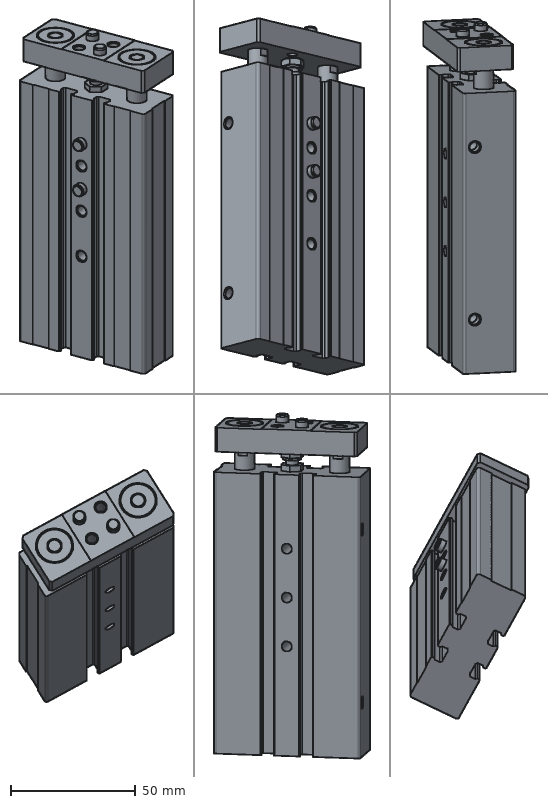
import cadquery as cq
import math

TOTAL_HEIGHT = 136.6

HOUSING_WIDTH = 60.0
HOUSING_DEPTH = 22.0
HOUSING_HEIGHT = 114.9
FRONT_CORNER_RADIUS = 1.2
BACK_CORNER_RADIUS = 1.0
HOUSING_FRONT = -HOUSING_DEPTH / 2
HOUSING_LEFT = -HOUSING_WIDTH / 2

SLOT_INNER_X = 5.3
SLOT_OUTER_X = 10.5
SLOT_DEPTH = 4.8
SLOT_LIP_CHAMFER = 0.4
SLOT_LIP_THICKNESS = 1.2
SLOT_UNDERCUT = 0.7
SLOT_FLOOR_CHAMFER = 0.7

FRONT_GROOVE_WIDTH = 7.6
FRONT_GROOVE_DEPTH = 0.2
SIDE_GROOVE_WIDTH = 9.0
SIDE_GROOVE_DEPTH = 0.4

HOLE_PITCH = 10.0
HOLE_DIAMETER = 4.1
HOLE_MOUTH_DIAMETER = 5.0
HOLE_CHAMFER = (HOLE_MOUTH_DIAMETER - HOLE_DIAMETER) / 2
FIRST_HOLE_DISTANCE = 20.2
FIRST_HOLE_Z = HOUSING_HEIGHT - FIRST_HOLE_DISTANCE
HOUSING_PIN_STEPS = (0, 2)
HOUSING_HOLE_STEPS = (1, 3, 5)

PLATE_PIN_CORNERS = ((-1, 1), (1, -1))
PLATE_HOLE_CORNERS = ((-1, -1), (1, 1))

PORT_END_DISTANCE = 22.1
PORT_BACK_DISTANCE = 4.8
PORT_Y = HOUSING_DEPTH / 2 - PORT_BACK_DISTANCE
PORT_DEPTH = 5.0
DRILL_POINT_ANGLE = 118

PIN_DIAMETER = HOLE_MOUTH_DIAMETER
PIN_PROTRUSION = 3.0
PIN_SEAT_DEPTH = 3.0
PIN_CHAMFER_LENGTH = 0.7
PIN_CHAMFER_WIDTH = 0.4

PLATE_WIDTH = 58.0
PLATE_HEIGHT = 10.0
PLATE_FRONT_SETBACK = 0.8
PLATE_BACK_OVERHANG = 2.0
PLATE_FRONT = HOUSING_FRONT + PLATE_FRONT_SETBACK
PLATE_BACK = HOUSING_DEPTH / 2 + PLATE_BACK_OVERHANG
PLATE_CHAMFER = 1.0
PLATE_TOP = TOTAL_HEIGHT - PIN_PROTRUSION
PLATE_BOTTOM = PLATE_TOP - PLATE_HEIGHT
PLATE_DEPTH = PLATE_BACK - PLATE_FRONT
PLATE_MIDDLE_Y = (PLATE_FRONT + PLATE_BACK) / 2
PLATE_PAD_WIDTH = 20.2
PLATE_PAD_STEP = 0.1
PLATE_SHOULDER = PLATE_TOP - PLATE_PAD_STEP

ROD_SPACING = 38.9
ROD_X = ROD_SPACING / 2
ROD_DIAMETER = 8.0
ROD_INSERTION = 20.0
ROD_HEAD_DIAMETER = 14.0
ROD_HEAD_RECESS_DIAMETER = 15.0
ROD_HEAD_THICKNESS = 5.0
ROD_TIP_DIAMETER = 6.0
ROD_TIP_CHAMFER = 0.48
WRENCH_FLAT_SPACING = 7.1
WRENCH_FLAT_HEIGHT = 2.9

HEX_ACROSS_FLATS = 8.0
HEX_CHAMFER_DIAMETER = 6.0
HEX_CHAMFER_ANGLE = 30
NUT_HEIGHT = 3.3
COLLAR_TOP_DIAMETER = 6.8
COLLAR_BOTTOM_DIAMETER = 7.5
COLLAR_HEIGHT = 1.0
STOP_SHANK_DIAMETER = 5.0
STOP_HEAD_HEIGHT = 2.5

INTO_HOUSING = (0, 1, 0)
OUT_OF_HOUSING = (0, -1, 0)
UP = (0, 0, 1)
DOWN = (0, 0, -1)


def cylinder(diameter, start, direction, length):
    return cq.Workplane(cq.Solid.makeCylinder(diameter / 2, length, cq.Vector(*start), cq.Vector(*direction)))


def cone(start_diameter, end_diameter, start, direction, length):
    return cq.Workplane(
        cq.Solid.makeCone(start_diameter / 2, end_diameter / 2, length, cq.Vector(*start), cq.Vector(*direction))
    )


def chamfered_hole(start, direction, length):
    bore = cylinder(HOLE_DIAMETER, start, direction, length)
    return bore.union(cone(HOLE_MOUTH_DIAMETER, HOLE_DIAMETER, start, direction, HOLE_CHAMFER))


def front_pin_seat(step):
    """Point on the housing front where a hole of the vertical row begins."""
    return (0, HOUSING_FRONT, FIRST_HOLE_Z - step * HOLE_PITCH)


def plate_hole_point(side_x, side_y):
    return (side_x * HOLE_PITCH / 2, side_y * HOLE_PITCH / 2, PLATE_TOP)



def sensor_slot():
    """Right-hand front slot: a mouth with chamfered lips and an undercut chamber behind them."""
    chamfer_end = HOUSING_FRONT + SLOT_LIP_CHAMFER
    lip_back = HOUSING_FRONT + SLOT_LIP_THICKNESS
    chamber_start = lip_back + SLOT_UNDERCUT
    floor = HOUSING_FRONT + SLOT_DEPTH
    chamber_inner_x = SLOT_INNER_X - SLOT_UNDERCUT
    chamber_outer_x = SLOT_OUTER_X + SLOT_UNDERCUT
    return (
        cq.Workplane("XY")
        .moveTo(SLOT_INNER_X - SLOT_LIP_CHAMFER, HOUSING_FRONT)
        .lineTo(SLOT_INNER_X, chamfer_end)
        .lineTo(SLOT_INNER_X, lip_back)
        .lineTo(chamber_inner_x, chamber_start)
        .lineTo(chamber_inner_x, floor - SLOT_FLOOR_CHAMFER)
        .lineTo(chamber_inner_x + SLOT_FLOOR_CHAMFER, floor)
        .lineTo(chamber_outer_x - SLOT_FLOOR_CHAMFER, floor)
        .lineTo(chamber_outer_x, floor - SLOT_FLOOR_CHAMFER)
        .lineTo(chamber_outer_x, chamber_start)
        .lineTo(SLOT_OUTER_X, lip_back)
        .lineTo(SLOT_OUTER_X, chamfer_end)
        .lineTo(SLOT_OUTER_X + SLOT_LIP_CHAMFER, HOUSING_FRONT)
        .close()
        .extrude(HOUSING_HEIGHT)
    )


def air_port(z):
    """Blind port with a chamfered mouth and a conical drill point."""
    start = (HOUSING_LEFT, PORT_Y, z)
    inward = (1, 0, 0)
    point_length = HOLE_DIAMETER / 2 / math.tan(math.radians(DRILL_POINT_ANGLE / 2))
    drill_point = cone(HOLE_DIAMETER, 0, (HOUSING_LEFT + PORT_DEPTH, PORT_Y, z), inward, point_length)
    return chamfered_hole(start, inward, PORT_DEPTH).union(drill_point)


def make_housing():
    housing = (
        cq.Workplane("XY")
        .rect(HOUSING_WIDTH, HOUSING_DEPTH)
        .extrude(HOUSING_HEIGHT)
        .edges("|Z and <Y")
        .fillet(FRONT_CORNER_RADIUS)
        .edges("|Z and >Y")
        .fillet(BACK_CORNER_RADIUS)
    )

    slot_pair = sensor_slot().union(sensor_slot().mirror("YZ"))
    housing = housing.cut(slot_pair).cut(slot_pair.mirror("XZ"))

    front_grooves = (
        cq.Workplane("XY")
        .pushPoints([(-ROD_X, HOUSING_FRONT), (ROD_X, HOUSING_FRONT)])
        .rect(FRONT_GROOVE_WIDTH, 2 * FRONT_GROOVE_DEPTH)
        .extrude(HOUSING_HEIGHT)
    )
    side_groove = (
        cq.Workplane("XY")
        .center(HOUSING_WIDTH / 2, 0)
        .rect(2 * SIDE_GROOVE_DEPTH, SIDE_GROOVE_WIDTH)
        .extrude(HOUSING_HEIGHT)
    )
    housing = housing.cut(front_grooves).cut(side_groove)

    for step in HOUSING_HOLE_STEPS:
        housing = housing.cut(chamfered_hole(front_pin_seat(step), INTO_HOUSING, HOUSING_DEPTH))
    for step in HOUSING_PIN_STEPS:
        housing = housing.cut(cylinder(PIN_DIAMETER, front_pin_seat(step), INTO_HOUSING, PIN_SEAT_DEPTH))

    for z in (PORT_END_DISTANCE, HOUSING_HEIGHT - PORT_END_DISTANCE):
        housing = housing.cut(air_port(z))

    for x in (-ROD_X, ROD_X):
        housing = housing.cut(cylinder(ROD_DIAMETER, (x, 0, HOUSING_HEIGHT), DOWN, ROD_INSERTION))
    return housing


def hexagon(bottom, height):
    """Hexagonal prism on the Z axis with one corner facing the front."""
    across_corners = HEX_ACROSS_FLATS / math.cos(math.radians(30))
    return (
        cq.Workplane("XY", origin=(0, 0, bottom))
        .transformed(rotate=(0, 0, 90))
        .polygon(6, across_corners)
        .extrude(height)
    )


def make_stop_screw():
    """Lock nut against the plate, collar, shank and hexagonal stop head, ending on the housing."""
    nut_bottom = PLATE_BOTTOM - NUT_HEIGHT
    chamfer_slope = math.tan(math.radians(HEX_CHAMFER_ANGLE))
    nut_cone_diameter = HEX_CHAMFER_DIAMETER + 2 * NUT_HEIGHT / chamfer_slope
    nut_cone = cone(nut_cone_diameter, HEX_CHAMFER_DIAMETER, (0, 0, nut_bottom), UP, NUT_HEIGHT)
    nut = hexagon(nut_bottom, NUT_HEIGHT).intersect(nut_cone)
    collar = cone(COLLAR_TOP_DIAMETER, COLLAR_BOTTOM_DIAMETER, (0, 0, nut_bottom), DOWN, COLLAR_HEIGHT)
    shank = cylinder(STOP_SHANK_DIAMETER, (0, 0, HOUSING_HEIGHT), UP, nut_bottom - HOUSING_HEIGHT)
    head = hexagon(HOUSING_HEIGHT, STOP_HEAD_HEIGHT)
    return nut.union(collar).union(shank).union(head)


def make_plate():
    plate = (
        cq.Workplane("XY", origin=(0, PLATE_MIDDLE_Y, PLATE_BOTTOM))
        .rect(PLATE_WIDTH, PLATE_DEPTH)
        .extrude(PLATE_SHOULDER - PLATE_BOTTOM)
        .edges("|Z")
        .chamfer(PLATE_CHAMFER)
    )
    raised_pad = (
        cq.Workplane("XY", origin=(0, PLATE_MIDDLE_Y, PLATE_SHOULDER))
        .rect(PLATE_PAD_WIDTH, PLATE_DEPTH)
        .extrude(PLATE_PAD_STEP)
    )
    plate = plate.union(raised_pad)

    for corner in PLATE_HOLE_CORNERS:
        plate = plate.cut(chamfered_hole(plate_hole_point(*corner), DOWN, PLATE_HEIGHT))
    for corner in PLATE_PIN_CORNERS:
        plate = plate.cut(cylinder(PIN_DIAMETER, plate_hole_point(*corner), DOWN, PIN_SEAT_DEPTH))

    for x in (-ROD_X, ROD_X):
        plate = plate.cut(cylinder(ROD_DIAMETER, (x, 0, PLATE_BOTTOM), UP, PLATE_HEIGHT))
        plate = plate.cut(cylinder(ROD_HEAD_RECESS_DIAMETER, (x, 0, PLATE_SHOULDER), DOWN, ROD_HEAD_THICKNESS))
    return plate.union(make_stop_screw())


def make_rod(x):
    """Rod from inside the housing up through the plate, with a round head flush with the plate."""
    rod_bottom = HOUSING_HEIGHT - ROD_INSERTION
    shaft = cylinder(ROD_DIAMETER, (x, 0, rod_bottom), UP, PLATE_SHOULDER - rod_bottom)
    head = cylinder(ROD_HEAD_DIAMETER, (x, 0, PLATE_SHOULDER), DOWN, ROD_HEAD_THICKNESS)
    rod = shaft.union(head)

    ring_bottom = (x, 0, PLATE_SHOULDER - ROD_TIP_CHAMFER)
    recess = cylinder(ROD_TIP_DIAMETER, ring_bottom, UP, ROD_TIP_CHAMFER)
    tip = cone(ROD_TIP_DIAMETER, ROD_TIP_DIAMETER - 2 * ROD_TIP_CHAMFER, ring_bottom, UP, ROD_TIP_CHAMFER)
    rod = rod.cut(recess.cut(tip))

    flat_offset = (WRENCH_FLAT_SPACING + ROD_DIAMETER) / 2
    wrench_flats = (
        cq.Workplane("XY", origin=(x, 0, PLATE_BOTTOM - WRENCH_FLAT_HEIGHT))
        .pushPoints([(0, -flat_offset), (0, flat_offset)])
        .rect(ROD_DIAMETER, ROD_DIAMETER)
        .extrude(WRENCH_FLAT_HEIGHT)
    )
    return rod.cut(wrench_flats)


def make_pin(seat, outward):
    """Round pin pressed into its seat, with a chamfered outer end."""
    inner_end = cq.Vector(*seat) - cq.Vector(*outward) * PIN_SEAT_DEPTH
    pin = cylinder(PIN_DIAMETER, inner_end.toTuple(), outward, PIN_SEAT_DEPTH + PIN_PROTRUSION)
    tip_face = ">Z" if outward == UP else "<Y"
    return pin.faces(tip_face).chamfer(PIN_CHAMFER_LENGTH, PIN_CHAMFER_WIDTH)


housing = make_housing()
plate = make_plate()
rods = [make_rod(x) for x in (-ROD_X, ROD_X)]
plate_pins = [make_pin(plate_hole_point(*corner), UP) for corner in PLATE_PIN_CORNERS]
housing_pins = [make_pin(front_pin_seat(step), OUT_OF_HOUSING) for step in HOUSING_PIN_STEPS]

bodies = [housing, plate, *rods, *plate_pins, *housing_pins]
result = cq.Compound.makeCompound([body.val() for body in bodies])